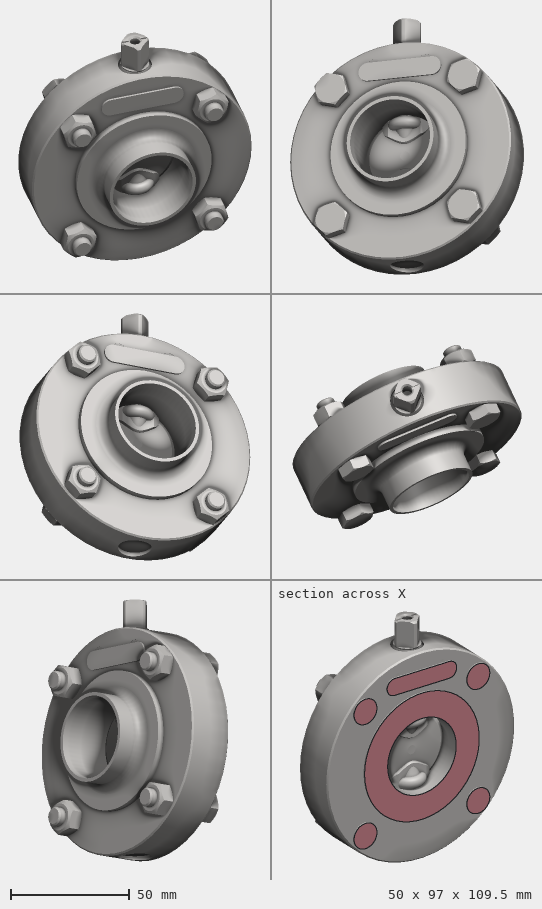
import cadquery as cq
import math


BODY_DIA = 97.0
BODY_HALF = 10.2
BODY_CHAMFER = 0.7
HUB_DIA = 59.5
HUB_HALF = 13.1
PIPE_DIA = 38.1
PIPE_BORE = 35.1
PIPE_HALF = 25.02
WELD_RADIUS = 3.8

DISC_FLAT_DIA = 4.2
DISC_FACE_DIA = 32.0
DISC_CENTRE_HALF = 3.3
DISC_FACE_HALF = 2.1
DISC_RIM_HALF = 1.1

HUB_OVERLAP = 0.3
COLLAR_DIA = 16.4
COLLAR_START = 11.5
COLLAR_ROUND = 2.7
CORE_START = 5.4
CORE_TIP_RADIUS = 3.0
LEAF_SHOULDER_RADIUS = 7.7
LEAF_SHOULDER_Z = 8.8
LEAF_RADIUS = 10.4
LEAF_WIDEST_Z = 12.7
LEAF_ROUND = 5.5
LEAF_RIDGE_HALF = 3.9
LEAF_RIDGE_Y = 7.1
LEAF_EDGE_HALF = 2.0

TOP_Z = 109.5 - BODY_DIA / 2
STEM_DIA = 12.0
STEM_NECK_DIA = 11.4
STEM_FLATS = 9.5
STEM_NECK_Z = 48.2
STEM_SQUARE_Z = 49.0
STEM_CHAMFER = 0.9
RECESS_DIA = 14.2
RECESS_FLOOR_Z = 46.6
CENTRE_HOLE_DIA = 4.2
CENTRE_HOLE_MOUTH_DIA = 5.6
CENTRE_HOLE_DEPTH = 6.6
DRILL_TIP_ANGLE = 30
MARK_SLOT_WIDTH = 1.0
MARK_SLOT_DEPTH = 0.5

PLATE_LENGTH = 36.1
PLATE_HEIGHT = 8.1
PLATE_THICKNESS = 0.9
PLATE_Z = 36.5
PIN_DIA = 7.2
PIN_Y = 11.4
PIN_Z = 38.4
PIN_SINK = 0.1

BOLT_SPACING = 58.3
BOLT_DIA = 8.0
BOLT_END_X = 20.0
BOLT_CHAMFER = 0.7
HEX_FLATS = 13.0
HEX_CORNER_CHAMFER = 0.6
HEAD_END_X = -15.3
HEAD_SEAT_X = -10.6
WASHER_FACE_DIA = 12.0
NUT_END_X = 16.8
NUT_FACE_DIA = 11.4
NUT_CORNER_CHAMFER = 1.2


def turned_x(points):
    """Solid of revolution about X from (x, radius) points."""
    return cq.Workplane("XY").polyline(points).close().revolve(360, (0, 0), (1, 0))


def turned_z(points):
    """Solid of revolution about Z from (radius, z) points."""
    return cq.Workplane("XZ").polyline(points).close().revolve(360, (0, 0), (0, 1))


def cylinder_x(diameter, start, end):
    return cq.Workplane("YZ").workplane(offset=start).circle(diameter / 2).extrude(end - start)


def make_housing():
    """Body, raised hubs and pipe ends with concave weld fillets, bored through."""
    body = cylinder_x(BODY_DIA, -BODY_HALF, BODY_HALF).edges().chamfer(BODY_CHAMFER)
    hub = cylinder_x(HUB_DIA, -HUB_HALF, HUB_HALF)
    pipe_radius = PIPE_DIA / 2
    weld = (
        cq.Workplane("XY")
        .moveTo(0, 0)
        .lineTo(0, pipe_radius + WELD_RADIUS)
        .lineTo(HUB_HALF, pipe_radius + WELD_RADIUS)
        .radiusArc((HUB_HALF + WELD_RADIUS, pipe_radius), -WELD_RADIUS)
        .lineTo(PIPE_HALF, pipe_radius)
        .lineTo(PIPE_HALF, 0)
        .close()
        .revolve(360, (0, 0), (1, 0))
    )
    bore = cylinder_x(PIPE_BORE, -PIPE_HALF, PIPE_HALF)
    return body.union(hub).union(weld).union(weld.mirror("YZ")).cut(bore)


def make_disc():
    """Shallow double cone that closes the bore, with a flat centre."""
    half_profile = [
        (DISC_CENTRE_HALF, DISC_FLAT_DIA / 2),
        (DISC_FACE_HALF, DISC_FACE_DIA / 2),
        (DISC_RIM_HALF, PIPE_BORE / 2),
        (DISC_RIM_HALF, PIPE_DIA / 2),
    ]
    outline = [(DISC_CENTRE_HALF, 0)] + half_profile
    mirrored = [(-x, radius) for x, radius in reversed(outline)]
    return turned_x(outline + mirrored)


def make_disc_hub():
    """Upper stem hub of the disc: a leaf-shaped flare, a tapered core and a full-round collar."""
    hub_end = PIPE_BORE / 2 + HUB_OVERLAP
    leaf = (
        cq.Workplane("XZ")
        .moveTo(0, CORE_START)
        .lineTo(CORE_TIP_RADIUS, CORE_START)
        .lineTo(LEAF_SHOULDER_RADIUS, LEAF_SHOULDER_Z)
        .radiusArc((LEAF_RADIUS, LEAF_WIDEST_Z), -LEAF_ROUND)
        .lineTo(LEAF_RADIUS, hub_end)
        .lineTo(0, hub_end)
        .close()
        .revolve(360, (0, 0), (0, 1))
    )
    roof_corners = [(LEAF_RIDGE_HALF, LEAF_RIDGE_Y), (LEAF_EDGE_HALF, LEAF_RADIUS)]
    right_side = roof_corners + [(-x, y) for x, y in reversed(roof_corners)]
    left_side = [(-x, -y) for x, y in right_side]
    roof = cq.Workplane("XY").polyline(right_side + left_side).close().extrude(hub_end)
    neck_radius = COLLAR_DIA / 2 - COLLAR_ROUND
    core_and_collar = (
        cq.Workplane("XZ")
        .moveTo(0, CORE_START)
        .lineTo(CORE_TIP_RADIUS, CORE_START)
        .lineTo(neck_radius, COLLAR_START)
        .threePointArc(
            (COLLAR_DIA / 2, COLLAR_START + COLLAR_ROUND),
            (neck_radius, COLLAR_START + 2 * COLLAR_ROUND),
        )
        .lineTo(neck_radius, hub_end)
        .lineTo(0, hub_end)
        .close()
        .revolve(360, (0, 0), (0, 1))
    )
    return leaf.intersect(roof).union(core_and_collar)


def make_stem():
    """Stem end: undercut round base, square with rounded corners, mark slot and centre hole."""
    square_height = TOP_Z - STEM_SQUARE_Z
    base = turned_z([
        (0, RECESS_FLOOR_Z),
        (RECESS_DIA / 2, RECESS_FLOOR_Z),
        (STEM_NECK_DIA / 2, STEM_NECK_Z),
        (STEM_DIA / 2, STEM_SQUARE_Z),
        (0, STEM_SQUARE_Z),
    ])
    square = (
        cq.Workplane("XY")
        .workplane(offset=STEM_SQUARE_Z)
        .transformed(rotate=(0, 0, 45))
        .rect(STEM_FLATS, STEM_FLATS)
        .extrude(square_height)
    )
    round_limit = (
        cq.Workplane("XY")
        .workplane(offset=STEM_SQUARE_Z)
        .circle(STEM_DIA / 2)
        .extrude(square_height)
        .faces(">Z").edges().chamfer(STEM_CHAMFER)
    )
    hole_radius = CENTRE_HOLE_DIA / 2
    mouth_radius = CENTRE_HOLE_MOUTH_DIA / 2
    hole_bottom = TOP_Z - CENTRE_HOLE_DEPTH
    centre_hole = turned_z([
        (0, hole_bottom - hole_radius * math.tan(math.radians(DRILL_TIP_ANGLE))),
        (hole_radius, hole_bottom),
        (hole_radius, TOP_Z - (mouth_radius - hole_radius)),
        (mouth_radius, TOP_Z),
        (0, TOP_Z),
    ])
    mark_slot = cq.Workplane("XY").box(MARK_SLOT_WIDTH, STEM_DIA, 2 * MARK_SLOT_DEPTH)
    mark_slot = mark_slot.translate((0, 0, TOP_Z))
    return base.union(square.intersect(round_limit)).cut(centre_hole).cut(mark_slot)


def make_stem_recess():
    """Upper round recess in the body rim around the stem."""
    depth = BODY_DIA / 2 - RECESS_FLOOR_Z
    return cq.Workplane("XY").workplane(offset=RECESS_FLOOR_Z).circle(RECESS_DIA / 2).extrude(depth)


def make_plate():
    """Raised name plate on the +X face."""
    return (
        cq.Workplane("YZ")
        .workplane(offset=BODY_HALF)
        .center(0, PLATE_Z)
        .slot2D(PLATE_LENGTH, PLATE_HEIGHT)
        .extrude(PLATE_THICKNESS)
    )


def make_pin_seats():
    """Barely sunk pin ends on the +X face, partly under the name plate."""
    return (
        cq.Workplane("YZ")
        .workplane(offset=BODY_HALF - PIN_SINK)
        .pushPoints([(-PIN_Y, PIN_Z), (PIN_Y, PIN_Z)])
        .circle(PIN_DIA / 2)
        .extrude(PIN_SINK)
    )


def make_hex(start, end):
    return (
        cq.Workplane("YZ")
        .workplane(offset=start)
        .polygon(6, HEX_FLATS, circumscribed=True)
        .extrude(end - start)
    )


def make_bolt():
    """Bolt on the X axis with its washer face, head and nut; a hex flat faces +Y."""
    flat_radius = HEX_FLATS / 2
    corner_radius = flat_radius / math.cos(math.pi / 6)
    head_limit = turned_x([
        (HEAD_END_X, 0),
        (HEAD_END_X, flat_radius),
        (HEAD_END_X + HEX_CORNER_CHAMFER, corner_radius),
        (HEAD_SEAT_X, corner_radius),
        (HEAD_SEAT_X, 0),
    ])
    nut_limit = turned_x([
        (BODY_HALF, 0),
        (BODY_HALF, flat_radius),
        (BODY_HALF + HEX_CORNER_CHAMFER, corner_radius),
        (NUT_END_X - NUT_CORNER_CHAMFER, corner_radius),
        (NUT_END_X, NUT_FACE_DIA / 2),
        (NUT_END_X, 0),
    ])
    head = make_hex(HEAD_END_X, HEAD_SEAT_X).intersect(head_limit)
    washer_face = cylinder_x(WASHER_FACE_DIA, HEAD_SEAT_X, -BODY_HALF)
    nut = make_hex(BODY_HALF, NUT_END_X).intersect(nut_limit)
    shank = cylinder_x(BOLT_DIA, -BODY_HALF, BOLT_END_X).faces(">X").edges().chamfer(BOLT_CHAMFER)
    return shank.union(head).union(washer_face).union(nut)


recess = make_stem_recess()
disc_hub = make_disc_hub()
plate = make_plate()
pin_seats = make_pin_seats()

valve = make_housing().union(make_disc())
valve = valve.union(disc_hub).union(disc_hub.mirror("XY"))
valve = valve.cut(recess).cut(recess.mirror("XY")).union(make_stem())
valve = valve.cut(pin_seats).cut(pin_seats.mirror("YZ"))
valve = valve.union(plate).union(plate.mirror("YZ"))

bolt_circle_radius = BOLT_SPACING / math.sqrt(2)
bolt = make_bolt().translate((0, bolt_circle_radius, 0))
for angle in (45, 135, 225, 315):
    valve = valve.union(bolt.rotate((0, 0, 0), (1, 0, 0), angle))

result = valve